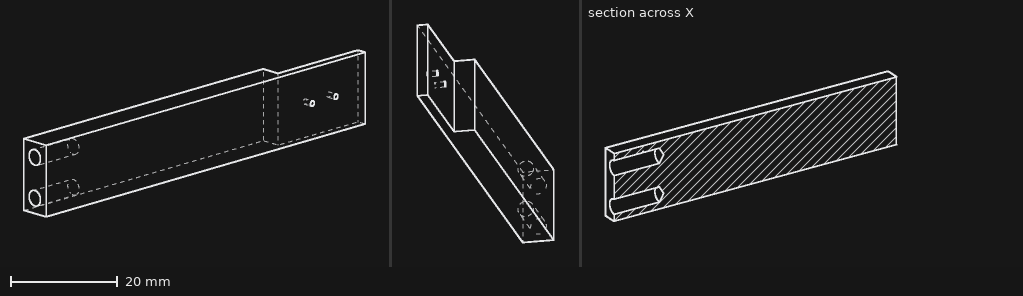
import cadquery as cq
import math

width = 6.0
length = 84.0
height = 14.0

tab_length = 21.0
tab_thickness = 2.0

pin_hole_diameter = 1.0
pin_hole_end_distance = 7.7
pin_hole_spacing = 6.2

end_hole_diameter = 3.0
end_hole_spacing = 8.0
end_hole_depth = 10.1
drill_point_angle = 118.0


def stepped_bar():
    """Bar with its -X side cut back to leave the tab."""
    bar = cq.Workplane("XY").box(width, length, height)
    step_width = width - tab_thickness
    step = (
        cq.Workplane("XY")
        .box(step_width, tab_length, height)
        .translate(((step_width - width) / 2, (length - tab_length) / 2, 0))
    )
    return bar.cut(step)


def tab_holes():
    """Cylinders along X that pass through the tab."""
    outer_y = length / 2 - pin_hole_end_distance
    return (
        cq.Workplane("YZ", origin=(-width / 2, 0, 0))
        .pushPoints([(outer_y, 0), (outer_y - pin_hole_spacing, 0)])
        .circle(pin_hole_diameter / 2)
        .extrude(width)
    )


def end_hole(z):
    """Blind hole with a conical drill point, running along +Y from the -Y end."""
    radius = end_hole_diameter / 2
    point_length = radius / math.tan(math.radians(drill_point_angle / 2))
    return (
        cq.Workplane("XY")
        .polyline([
            (0, 0),
            (radius, 0),
            (radius, end_hole_depth),
            (0, end_hole_depth + point_length),
        ])
        .close()
        .revolve(360, (0, 0), (0, 1))
        .translate((0, -length / 2, z))
    )


result = stepped_bar().cut(tab_holes())
for side in (-1, 1):
    result = result.cut(end_hole(side * end_hole_spacing / 2))